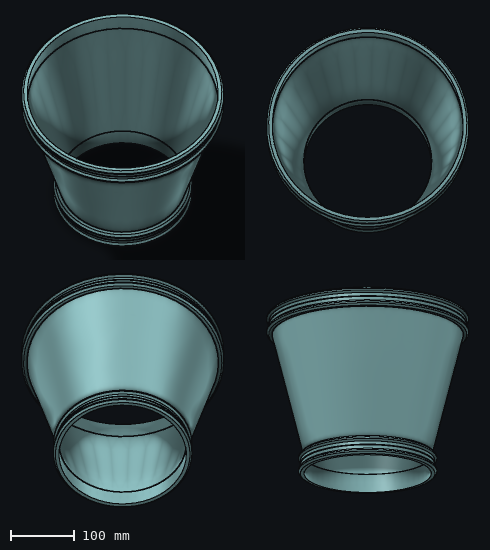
import cadquery as cq

total_height = 259.0
ring_height = 30.0
large_bore_diameter = 300.0
large_ring_diameter = 318.5
large_waist_diameter = 311.7
small_bore_diameter = 200.0
small_ring_diameter = 218.5
small_waist_diameter = 211.7
rib_bevel_height = 3.2
rib_land = 2.5
ridge_width = 1.0
ridge_projection = 0.5
cone_wall = 1.0

large_bore_radius = large_bore_diameter / 2
small_bore_radius = small_bore_diameter / 2
cone_bottom = ring_height
cone_top = total_height - ring_height


def revolve_profile(points):
    """Turn a closed (radius, height) outline about the Z axis."""
    return cq.Workplane("XZ").polyline(points).close().revolve(360, (0, 0, 0), (0, 1, 0))


def make_ring(bore_radius, outer_radius, waist_radius, base_height):
    """End ring with a bevelled rib at each rim and a thin ridge midway between them."""
    ridge_radius = waist_radius + ridge_projection
    middle = ring_height / 2
    lower_half = [
        (waist_radius, 0),
        (outer_radius, rib_bevel_height),
        (outer_radius, rib_bevel_height + rib_land),
        (waist_radius, 2 * rib_bevel_height + rib_land),
        (waist_radius, middle - ridge_width / 2),
        (ridge_radius, middle - ridge_width / 2),
    ]
    upper_half = [(radius, ring_height - height) for radius, height in reversed(lower_half)]
    outline = [(bore_radius, 0)] + lower_half + upper_half + [(bore_radius, ring_height)]
    return revolve_profile(outline).translate((0, 0, base_height))


def make_cone():
    """Thin tapered shell between the facing ends of the two rings."""
    return revolve_profile([
        (small_bore_radius, cone_bottom),
        (small_bore_radius + cone_wall, cone_bottom),
        (large_bore_radius + cone_wall, cone_top),
        (large_bore_radius, cone_top),
    ])


small_ring = make_ring(small_bore_radius, small_ring_diameter / 2, small_waist_diameter / 2, 0)
large_ring = make_ring(large_bore_radius, large_ring_diameter / 2, large_waist_diameter / 2, cone_top)
cone = make_cone()

result = cq.Compound.makeCompound([small_ring.val(), cone.val(), large_ring.val()])